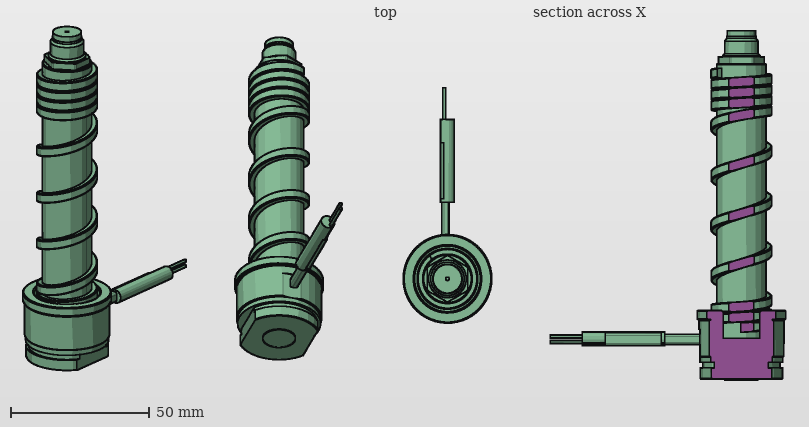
import cadquery as cq
import math

foot_radius = 5.9
foot_height = 0.4
base_radius = 14.9
base_top = 4.4
base_chamfer = 0.3
base_neck_radius = 14.0
base_flat_offset = 11.9
ring_bottom = 6.4
ring_radius = 15.0

housing_bottom = 8.3
housing_radius = 15.4
housing_chamfer = 0.4
flange_bottom = 21.8
flange_top = 25.2
flange_radius = 16.0
flange_chamfer = 0.4
recess_radius = 11.9
recess_chamfer = 0.5
recess_floor = 15.1
cable_pad_offset = 15.0
cable_pad_top = 18.3

shaft_radius = 9.0
shaft_top = 114.3
shaft_chamfer = 0.4
hex_across_flats = 14.6
hex_round = 0.8
hex_top = 116.7
nose_cone_radius = 6.8
nose_cone_bottom = 117.1
nose_cone_top = 117.9
nose_radius = 6.0
nose_top = 122.4
tip_collar_radius = 5.3
tip_collar_bottom = 123.4
tip_collar_top = 124.2
tip_radius = 5.2
total_height = 126.2
tip_hole_radius = 0.6
tip_hole_depth = 3.8

coil_outer_radius = 11.0
coil_sink = 0.3
coil_inner_radius = shaft_radius - coil_sink
coil_height = 3.5
coil_chamfer = 0.4
close_pitch = 3.8
open_pitch = 18.0
upper_turns = 3.67
lower_turns = 2.0
ramp_turns = 0.36
open_turns = 3.47
coil_end_angle = 128.0
coil_end_z = 110.9
points_per_turn = 24

cable_z = 14.8
cable_width = 2.8
cable_height = 3.8
cable_round = 0.8
cable_left = -2.1
sleeve_radius = 2.5
sleeve_z = 14.9
sleeve_start = 27.6
sleeve_end = 57.5
insert_start = 28.9
insert_end = 49.1
insert_left = -2.5
insert_height = 4.5
insert_round = 0.9
wire_radius = 0.57
wire_x = -1.1
wire_spacing = 2.0
wire_end = 69.0


def cylinder(radius, bottom, top):
    return cq.Workplane("XY", origin=(0, 0, bottom)).circle(radius).extrude(top - bottom)


def cone(bottom_radius, top_radius, bottom, top):
    profile = [(0, bottom), (bottom_radius, bottom), (top_radius, top), (0, top)]
    return cq.Workplane("XZ").polyline(profile).close().revolve(360, (0, 0), (0, 1))


def rod(radius, x, z, start, end):
    """Round bar along +Y."""
    return cq.Workplane("XZ", origin=(x, start, z)).circle(radius).extrude(start - end)


def rounded_bar(left, right, start, end, height, rounding):
    """Bar along +Y at cable level with rounded long edges."""
    size = (right - left, end - start, height)
    center = ((left + right) / 2, (start + end) / 2, cable_z)
    return cq.Workplane("XY").box(*size).edges("|Y").fillet(rounding).translate(center)


def make_base():
    foot = cylinder(foot_radius, 0, foot_height)
    plate = cylinder(base_radius, foot_height, base_top).faces("<Z").chamfer(base_chamfer)
    neck = cylinder(base_neck_radius, base_top, ring_bottom)
    between_flats = cq.Workplane("XY").box(
        2 * base_flat_offset, 2 * flange_radius, ring_bottom, centered=(True, True, False)
    )
    ring = cylinder(ring_radius, ring_bottom, housing_bottom)
    return plate.union(neck).intersect(between_flats).union(foot).union(ring)


def make_housing():
    body = cylinder(housing_radius, housing_bottom, flange_bottom).edges().chamfer(housing_chamfer)
    pad_cut = cq.Workplane("XY").box(
        2 * housing_radius, housing_radius, cable_pad_top, centered=(True, False, False)
    )
    body = body.cut(pad_cut.translate((0, cable_pad_offset, 0)))
    flange = cylinder(flange_radius, flange_bottom, flange_top).edges().chamfer(flange_chamfer)
    recess = cylinder(recess_radius, recess_floor, flange_top)
    rim_bottom = flange_top - recess_chamfer
    rim = cone(recess_radius, recess_radius + recess_chamfer, rim_bottom, flange_top)
    return body.union(flange).cut(recess).cut(rim)


def make_shaft():
    shaft = cylinder(shaft_radius, recess_floor, shaft_top).faces(">Z").chamfer(shaft_chamfer)
    hex_corner_diameter = hex_across_flats / math.cos(math.pi / 6)
    hexagon = (
        cq.Workplane("XY", origin=(0, 0, shaft_top))
        .transformed(rotate=(0, 0, 90))
        .polygon(6, hex_corner_diameter)
        .extrude(hex_top - shaft_top)
        .edges("|Z")
        .fillet(hex_round)
    )
    shaft = shaft.union(hexagon)
    shaft = shaft.union(cylinder(nose_cone_radius, hex_top, nose_cone_bottom))
    shaft = shaft.union(cone(nose_cone_radius, nose_radius, nose_cone_bottom, nose_cone_top))
    shaft = shaft.union(cylinder(nose_radius, nose_cone_top, nose_top))
    shaft = shaft.union(cone(nose_radius, tip_collar_radius, nose_top, tip_collar_bottom))
    shaft = shaft.union(cylinder(tip_collar_radius, tip_collar_bottom, tip_collar_top))
    shaft = shaft.union(cylinder(tip_radius, tip_collar_top, total_height))
    return shaft.cut(cylinder(tip_hole_radius, total_height - tip_hole_depth, total_height))


def coil_drop(turns):
    """Height lost after going down the coil this many turns from its upper end."""
    drop = close_pitch * turns
    extra_pitch = open_pitch - close_pitch
    first_ramp = upper_turns
    last_ramp = upper_turns + ramp_turns + open_turns
    for ramp_start, pitch_change in ((first_ramp, extra_pitch), (last_ramp, -extra_pitch)):
        past_start = max(0, turns - ramp_start)
        in_ramp = min(past_start, ramp_turns)
        drop += pitch_change * (in_ramp**2 / (2 * ramp_turns) + past_start - in_ramp)
    return drop


def coil_edge(radius, z_offset):
    total_turns = upper_turns + open_turns + 2 * ramp_turns + lower_turns
    steps = math.ceil(total_turns * points_per_turn)
    points = []
    for step in range(steps + 1):
        turns = total_turns * step / steps
        angle = math.radians(coil_end_angle - 360 * turns)
        z = coil_end_z + z_offset - coil_drop(turns)
        points.append(cq.Vector(radius * math.cos(angle), radius * math.sin(angle), z))
    return cq.Edge.makeSpline(points)


def make_coil():
    """Rectangular wire with chamfered outer edges, wound around the shaft and sunk slightly into it."""
    half = coil_height / 2
    side_half = half - coil_chamfer
    shoulder_radius = coil_outer_radius - coil_chamfer
    corners = [
        (coil_inner_radius, -half),
        (shoulder_radius, -half),
        (coil_outer_radius, -side_half),
        (coil_outer_radius, side_half),
        (shoulder_radius, half),
        (coil_inner_radius, half),
    ]
    edges = [coil_edge(radius, z_offset) for radius, z_offset in corners]
    faces = [cq.Face.makeRuledSurface(edges[i - 1], edges[i]) for i in range(len(edges))]
    for end_points in ([e.startPoint() for e in edges], [e.endPoint() for e in edges]):
        faces.append(cq.Face.makeFromWires(cq.Wire.makePolygon(end_points, close=True)))
    return cq.Workplane(cq.Solid.makeSolid(cq.Shell.makeShell(faces)))


def make_cable():
    cable_right = cable_left + cable_width
    cable_start = (recess_radius + cable_pad_offset) / 2
    cable = rounded_bar(cable_left, cable_right, cable_start, sleeve_end, cable_height, cable_round)
    sleeve = rod(sleeve_radius, 0, sleeve_z, sleeve_start, sleeve_end)
    insert = rounded_bar(insert_left, 0, insert_start, insert_end, insert_height, insert_round)
    cable = cable.union(sleeve).union(insert)
    for side in (-1, 1):
        wire_z = cable_z + side * wire_spacing / 2
        cable = cable.union(rod(wire_radius, wire_x, wire_z, sleeve_end, wire_end))
    return cable


result = make_base().union(make_housing()).union(make_cable()).union(make_shaft().union(make_coil()))